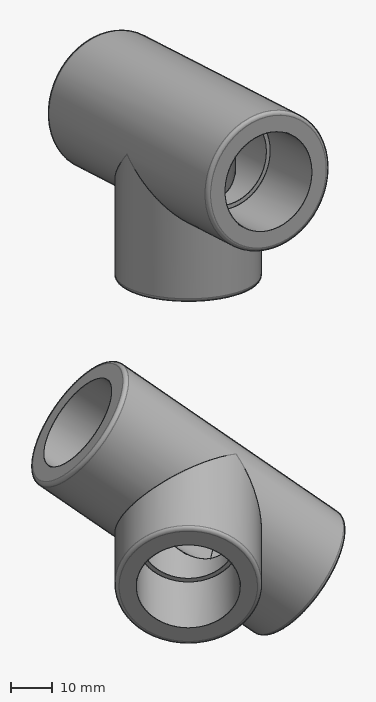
import cadquery as cq

run_length = 70.0
outer_diameter = 35.2
branch_reach = 35.0
edge_radius = 1.0

socket_diameter = 25.0
bore_diameter = 22.8
socket_depth = 18.2


def run_cylinder(diameter):
    """Cylinder along X over the full length of the run."""
    start_plane = cq.Workplane("YZ", origin=(-run_length / 2, 0, 0))
    return start_plane.circle(diameter / 2).extrude(run_length)


def branch_cylinder(diameter):
    """Cylinder from the run axis down to the branch end face."""
    return cq.Workplane("XY").circle(diameter / 2).extrude(-branch_reach)


def socket(end_center, inward):
    """Cylindrical socket cut into an end face along the inward direction."""
    face = cq.Plane(origin=end_center, normal=inward)
    return cq.Workplane(face).circle(socket_diameter / 2).extrude(socket_depth)


run_body = run_cylinder(outer_diameter).faces("<X or >X").edges().fillet(edge_radius)
branch_body = branch_cylinder(outer_diameter).faces("<Z").edges().fillet(edge_radius)
body = run_body.union(branch_body)

body = body.cut(run_cylinder(bore_diameter))
body = body.cut(branch_cylinder(bore_diameter))

socket_ends = [
    ((-run_length / 2, 0, 0), (1, 0, 0)),
    ((run_length / 2, 0, 0), (-1, 0, 0)),
    ((0, 0, -branch_reach), (0, 0, 1)),
]
for end_center, inward in socket_ends:
    body = body.cut(socket(end_center, inward))

result = body